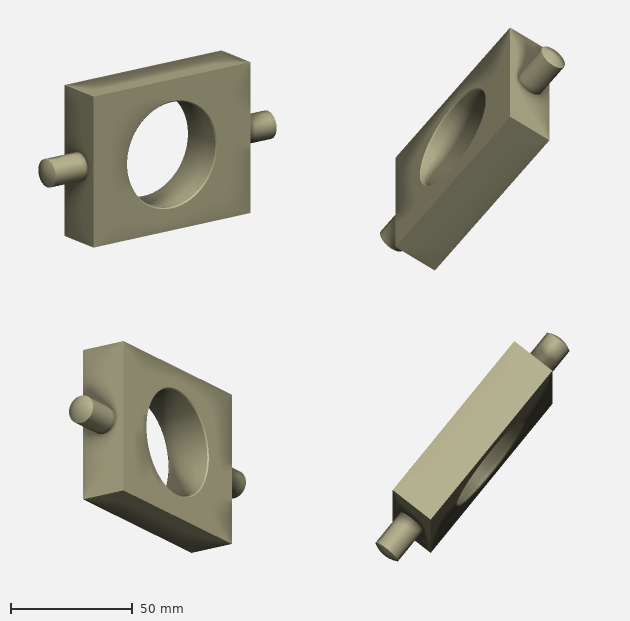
import cadquery as cq

overall_length = 116.0
block_thickness = 20.0
block_length = 80.0
block_height = 65.0
bore_diameter = 45.1
bore_chamfer = 0.5
pin_diameter = 12.0
dome_height = 1.6

block = cq.Workplane("XY").box(block_thickness, block_length, block_height)

bored_block = (
    block.faces("<X").workplane(centerOption="CenterOfBoundBox").hole(bore_diameter)
    .edges("%CIRCLE").chamfer(bore_chamfer)
)

pin_radius = pin_diameter / 2
tip = overall_length / 2
shoulder = tip - dome_height
dome_radius = (pin_radius**2 + dome_height**2) / (2 * dome_height)
dome_centre = tip - dome_radius


def make_pin():
    """Pin on the +Y side, rooted at the block's end face."""
    arc_mid_x = pin_radius / 2
    arc_mid_y = dome_centre + (dome_radius**2 - arc_mid_x**2) ** 0.5
    return (
        cq.Workplane("XY")
        .moveTo(0, block_length / 2)
        .lineTo(pin_radius, block_length / 2)
        .lineTo(pin_radius, shoulder)
        .threePointArc((arc_mid_x, arc_mid_y), (0, tip))
        .close()
        .revolve(360, (0, 0, 0), (0, 1, 0))
    )


pin = make_pin()
result = bored_block.union(pin).union(pin.mirror("XZ"))